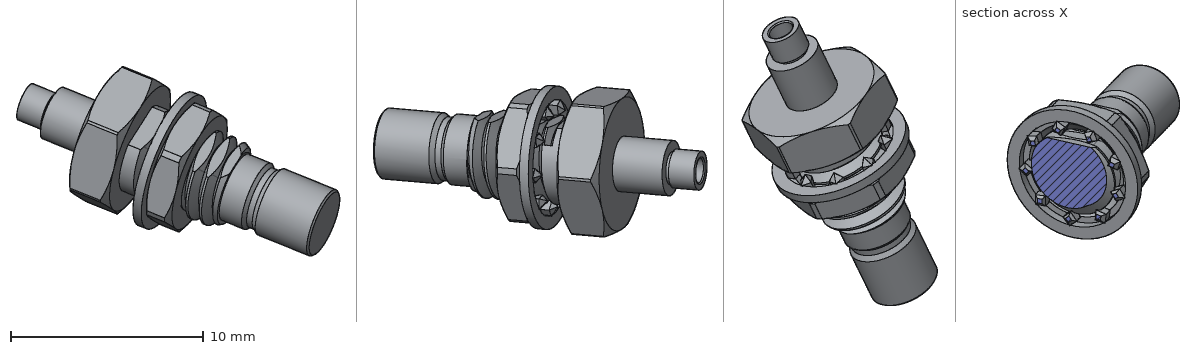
import cadquery as cq
import math


TAIL_END = 1.40
SLEEVE_START = 1.60
HEX_START = 4.34
HEX_END = 6.685
WASHER_START = 8.17
NUT_START = 8.66
NUT_END = 10.16
THREAD_END = 12.25
TOTAL_LENGTH = 17.45

TAIL_RADIUS = 1.025
NECK_RADIUS = 0.87
SLEEVE_RADIUS = 1.45
BORE_RADIUS = 0.65
BORE_DEPTH = HEX_START
BORE_CHAMFER = 0.07
PIN_HOLE_RADIUS = 0.46
PIN_HOLE_END = HEX_END

HEX_FLATS = 7.0
HEX_CORNER_RADIUS = 4.0
NUT_FLATS = 6.35
NUT_CORNER_RADIUS = 3.57
HEX_SIDES = 6
HEX_CHAMFER_ANGLE = 30
NUT_BORE_RADIUS = 2.1
NUT_COUNTERSINK_RADIUS = 2.7

THREAD_RADIUS = 2.4
THREAD_PITCH = 0.794
THREAD_CREST = 0.13
THREAD_FLANK_ANGLE = 30
FLANK_SLOPE = math.tan(math.radians(THREAD_FLANK_ANGLE))
THREAD_ROOT_RADIUS = THREAD_RADIUS - (THREAD_PITCH - THREAD_CREST) / 2 / FLANK_SLOPE
CUT_CLEARANCE = 0.05
BARREL_FLAT_HEIGHT = 1.965
THREAD_START_ANGLE = 120
THREAD_START_X = 7.73
LEAD_IN_TURN = 90
THREAD_END_RADIUS = 2.08
THREAD_END_CHAMFER = 0.55

PLUG_RADIUS = 1.86
PLUG_END_CHAMFER = 0.1
LATCH_RADIUS = 1.67
LATCH_START = 13.55
LATCH_FLOOR_START = 13.75
LATCH_FLOOR_END = 14.08
LATCH_END = 14.35

WASHER_RADIUS = 3.75
WASHER_BORE_RADIUS = 3.05
TOOTH_COUNT = 9
TOOTH_FIRST_ANGLE = 33
TOOTH_TIP_X = 7.82
TOOTH_TIP_RADIUS = 2.55
TOOTH_INNER_RADIUS = 2.25
TOOTH_OUTER_RADIUS = 3.10
TOOTH_SHOULDER_RADIUS = 2.70
TOOTH_WIDTH = 0.80


def revolve_about_x(points):
    """Solid of revolution about X from (x, radius) points."""
    return cq.Workplane("XY").polyline(points).close().revolve(360, (0, 0, 0), (1, 0, 0))


def cylinder(start, end, radius):
    """Cylinder on the X axis between two stations."""
    return cq.Workplane("YZ", origin=(start, 0, 0)).circle(radius).extrude(end - start)


def chamfered_hexagon(start, end, across_flats, corner_radius):
    """Hexagon with flats facing +Z and -Z, corners trimmed and both ends chamfered."""
    corner_diameter = across_flats / math.cos(math.pi / HEX_SIDES)
    prism = (
        cq.Workplane("YZ", origin=(start, 0, 0))
        .polygon(HEX_SIDES, corner_diameter)
        .extrude(end - start)
    )
    face_radius = across_flats / 2
    chamfer = (corner_radius - face_radius) * math.tan(math.radians(HEX_CHAMFER_ANGLE))
    envelope = revolve_about_x([
        (start, 0),
        (start, face_radius),
        (start + chamfer, corner_radius),
        (end - chamfer, corner_radius),
        (end, face_radius),
        (end, 0),
    ])
    return prism.intersect(envelope)


def cable_end():
    """Stepped solder tail and sleeve, running into the hexagon."""
    tail = cylinder(0, TAIL_END, TAIL_RADIUS)
    neck = cylinder(TAIL_END, SLEEVE_START, NECK_RADIUS)
    sleeve = cylinder(SLEEVE_START, HEX_START, SLEEVE_RADIUS)
    return tail.union(neck).union(sleeve)


def cable_bore():
    """Chamfered cable bore with a smaller pin hole beyond it."""
    return revolve_about_x([
        (0, 0),
        (0, BORE_RADIUS + BORE_CHAMFER),
        (BORE_CHAMFER, BORE_RADIUS),
        (BORE_DEPTH, BORE_RADIUS),
        (BORE_DEPTH, PIN_HOLE_RADIUS),
        (PIN_HOLE_END, PIN_HOLE_RADIUS),
        (PIN_HOLE_END, 0),
    ])


def swept_groove(path):
    """V groove along a helix about Z that starts at the thread root radius on +X."""
    outer_radius = THREAD_RADIUS + CUT_CLEARANCE
    outer_half_width = (outer_radius - THREAD_ROOT_RADIUS) * FLANK_SLOPE
    return (
        cq.Workplane("XZ")
        .polyline([
            (THREAD_ROOT_RADIUS, 0),
            (outer_radius, outer_half_width),
            (outer_radius, -outer_half_width),
        ])
        .close()
        .sweep(cq.Workplane(obj=path), isFrenet=True)
    )


def onto_barrel(groove):
    """Turn a groove made about Z onto the X axis, at the start of the full-depth thread."""
    along_x = groove.rotate((0, 0, 0), (0, 1, 0), 90)
    return along_x.rotate((0, 0, 0), (1, 0, 0), THREAD_START_ANGLE + 90).translate((THREAD_START_X, 0, 0))


def thread_turn():
    """One full-depth turn of the groove, beginning at the thread start."""
    return onto_barrel(swept_groove(cq.Wire.makeHelix(THREAD_PITCH, THREAD_PITCH, THREAD_ROOT_RADIUS)))


def thread_lead_in():
    """Part-turn groove that rises from the thread start, out of the barrel surface."""
    length = THREAD_PITCH * LEAD_IN_TURN / 360
    rise = THREAD_RADIUS + CUT_CLEARANCE - THREAD_ROOT_RADIUS
    taper = math.degrees(math.atan2(rise, length))
    path = cq.Wire.makeHelix(THREAD_PITCH, length, THREAD_ROOT_RADIUS, angle=taper, lefthand=True)
    return onto_barrel(swept_groove(path).mirror("XY"))


def threaded_barrel():
    """Barrel with its flat and its right-hand thread."""
    barrel = revolve_about_x([
        (HEX_END, 0),
        (HEX_END, THREAD_RADIUS),
        (THREAD_END - THREAD_END_CHAMFER, THREAD_RADIUS),
        (THREAD_END, THREAD_END_RADIUS),
        (THREAD_END, 0),
    ])
    flat = (
        cq.Workplane("XY", origin=((HEX_END + THREAD_END) / 2, 0, BARREL_FLAT_HEIGHT))
        .rect(THREAD_END - HEX_END, 2 * THREAD_RADIUS)
        .extrude(THREAD_RADIUS)
    )
    turn = thread_turn()
    threaded_length = THREAD_END - THREAD_START_X
    turn_count = math.ceil(threaded_length / THREAD_PITCH) + 1
    for index in range(turn_count):
        barrel = barrel.cut(turn.translate((index * THREAD_PITCH, 0, 0)))
    return barrel.cut(thread_lead_in()).cut(flat)


def plug():
    """Mating end with a latching groove and a chamfered rim."""
    return revolve_about_x([
        (THREAD_END, 0),
        (THREAD_END, PLUG_RADIUS),
        (LATCH_START, PLUG_RADIUS),
        (LATCH_FLOOR_START, LATCH_RADIUS),
        (LATCH_FLOOR_END, LATCH_RADIUS),
        (LATCH_END, PLUG_RADIUS),
        (TOTAL_LENGTH - PLUG_END_CHAMFER, PLUG_RADIUS),
        (TOTAL_LENGTH, PLUG_RADIUS - PLUG_END_CHAMFER),
        (TOTAL_LENGTH, 0),
    ])


def lock_nut():
    """Hexagon nut whose bore is countersunk on the washer side."""
    countersink = NUT_COUNTERSINK_RADIUS - NUT_BORE_RADIUS
    bore = revolve_about_x([
        (NUT_START, 0),
        (NUT_START, NUT_COUNTERSINK_RADIUS),
        (NUT_START + countersink, NUT_BORE_RADIUS),
        (NUT_END, NUT_BORE_RADIUS),
        (NUT_END, 0),
    ])
    return chamfered_hexagon(NUT_START, NUT_END, NUT_FLATS, NUT_CORNER_RADIUS).cut(bore)


def washer_tooth():
    """Tooth at angle 0: a kite-shaped root with a pyramid point towards the hexagon."""
    half = TOOTH_WIDTH / 2
    kite = [
        (TOOTH_INNER_RADIUS, 0),
        (TOOTH_SHOULDER_RADIUS, half),
        (TOOTH_OUTER_RADIUS, 0),
        (TOOTH_SHOULDER_RADIUS, -half),
    ]
    root = (
        cq.Workplane("YZ", origin=(WASHER_START, 0, 0))
        .polyline(kite)
        .close()
        .extrude(NUT_START - WASHER_START)
    )
    tip = cq.Vector(TOOTH_TIP_X, TOOTH_TIP_RADIUS, 0)
    base = [cq.Vector(WASHER_START, y, z) for y, z in kite]
    faces = [cq.Face.makeFromWires(cq.Wire.makePolygon(base, close=True))]
    for first, second in zip(base, base[1:] + base[:1]):
        faces.append(cq.Face.makeFromWires(cq.Wire.makePolygon([first, second, tip], close=True)))
    point = cq.Solid.makeSolid(cq.Shell.makeShell(faces))
    return root.union(cq.Workplane(obj=point))


def lock_washer():
    """Ring with evenly spaced inner teeth."""
    ring = cylinder(WASHER_START, NUT_START, WASHER_RADIUS)
    washer = ring.cut(cylinder(WASHER_START, NUT_START, WASHER_BORE_RADIUS))
    tooth = washer_tooth()
    for index in range(TOOTH_COUNT):
        angle = TOOTH_FIRST_ANGLE + index * 360 / TOOTH_COUNT
        washer = washer.union(tooth.rotate((0, 0, 0), (1, 0, 0), angle))
    return washer


hexagon = chamfered_hexagon(HEX_START, HEX_END, HEX_FLATS, HEX_CORNER_RADIUS)

result = (
    cable_end()
    .union(hexagon)
    .union(threaded_barrel())
    .union(plug())
    .union(lock_nut())
    .union(lock_washer())
    .cut(cable_bore())
)